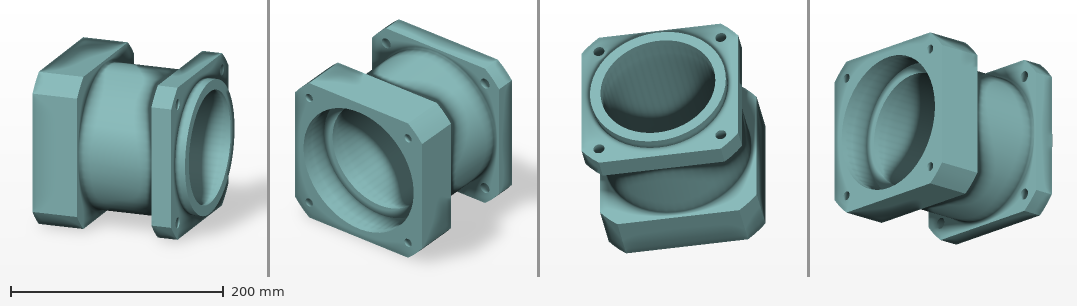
import cadquery as cq

length = 150.0
flange_side = 150.0
corner_diameter = 190.0
front_flange_thickness = 45.0
rear_flange_start = 120.0
spigot_length = 10.0
tube_diameter = 140.0
fit_diameter = 130.0
bore_diameter = 110.0
recess_depth = 32.0
root_fillet = 2.0
bolt_circle_diameter = 165.0
front_hole_diameter = 8.5
front_hole_depth = 30.0
rear_hole_diameter = 10.5

rear_flange_end = length - spigot_length


def cylinder(diameter, start, end):
    """Cylinder on the tube axis between two X positions."""
    return cq.Workplane("YZ", origin=(start, 0, 0)).circle(diameter / 2).extrude(end - start)


def flange(start, end):
    """Square flange with corners turned to the corner diameter."""
    square = cq.Workplane("YZ", origin=(start, 0, 0)).rect(flange_side, flange_side).extrude(end - start)
    return square.intersect(cylinder(corner_diameter, start, end))


def bolt_holes(diameter, start, end):
    """Four holes on the diagonals of the flange."""
    spacing = bolt_circle_diameter / 2**0.5
    return (
        cq.Workplane("YZ", origin=(start, 0, 0))
        .rect(spacing, spacing, forConstruction=True)
        .vertices()
        .circle(diameter / 2)
        .extrude(end - start)
    )


def root_ring(flange_face, direction):
    """Concave fillet ring on the tube, growing from a flange face along direction (+1 or -1)."""
    tube_radius = tube_diameter / 2
    tube_end = flange_face + direction * root_fillet
    arc_offset = root_fillet * (1 - 0.5**0.5)
    return (
        cq.Workplane("XY")
        .moveTo(flange_face, bore_diameter / 2)
        .lineTo(flange_face, tube_radius + root_fillet)
        .threePointArc(
            (flange_face + direction * arc_offset, tube_radius + arc_offset),
            (tube_end, tube_radius),
        )
        .lineTo(tube_end, bore_diameter / 2)
        .close()
        .revolve(360, (0, 0, 0), (1, 0, 0))
    )


body = (
    flange(0, front_flange_thickness)
    .union(cylinder(tube_diameter, front_flange_thickness, rear_flange_start))
    .union(flange(rear_flange_start, rear_flange_end))
    .union(cylinder(fit_diameter, rear_flange_end, length))
    .union(root_ring(front_flange_thickness, 1))
    .union(root_ring(rear_flange_start, -1))
)

result = (
    body.cut(cylinder(bore_diameter, 0, length))
    .cut(cylinder(fit_diameter, 0, recess_depth))
    .cut(bolt_holes(front_hole_diameter, 0, front_hole_depth))
    .cut(bolt_holes(rear_hole_diameter, rear_flange_start, rear_flange_end))
)